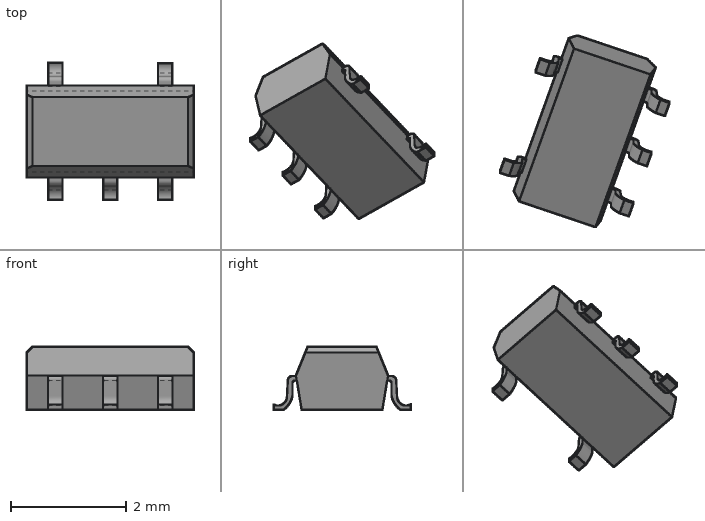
import cadquery as cq
import math

length = 2.9
height = 1.1
waist_height = 0.6
waist_half_width = 0.8
top_half_width = 0.597
bottom_half_width = 0.702
end_chamfer = 0.102

lead_width = 0.25
lead_pitch = 0.95
lead_reach = 1.185
long_lead_reach = 1.195

shank_inner = 0.855
shank_lean = math.radians(3)
shank_top = 0.467
shoulder_inner_radius = 0.04
shoulder_outer_radius = 0.08
shoulder_height = 0.592

foot_radius = 0.157
foot_thickness = 0.078
foot_center = 1.115
heel_top = 0.25
heel_mid = 0.908
heel_mid_height = 0.115
heel_end = 1.015


def flank_half_width(z):
    """Half width of the housing at height z, below the waist."""
    slope = (waist_half_width - bottom_half_width) / waist_height
    return bottom_half_width + slope * z


def make_housing():
    body = (
        cq.Workplane("YZ")
        .polyline([
            (-bottom_half_width, 0),
            (bottom_half_width, 0),
            (waist_half_width, waist_height),
            (top_half_width, height),
            (-top_half_width, height),
            (-waist_half_width, waist_height),
        ])
        .close()
        .extrude(length / 2, both=True)
    )
    end_outline = (
        cq.Workplane("XZ")
        .polyline([
            (-length / 2, 0),
            (length / 2, 0),
            (length / 2, height - end_chamfer),
            (length / 2 - end_chamfer, height),
            (-length / 2 + end_chamfer, height),
            (-length / 2, height - end_chamfer),
        ])
        .close()
        .extrude(waist_half_width, both=True)
    )
    return body.intersect(end_outline)


def make_rear_lead(x, reach):
    """Lead on the +Y side, centred on x, with its tip at y = reach."""
    bend_height = foot_thickness + foot_radius
    tip_offset = reach - foot_center
    tip_height = bend_height - math.sqrt(foot_radius**2 - tip_offset**2)
    underside = shank_top + shoulder_inner_radius
    inner_bend_start = shank_inner - shoulder_inner_radius

    shank_end = (
        foot_center - foot_radius * math.cos(shank_lean),
        bend_height - foot_radius * math.sin(shank_lean),
    )
    shoulder_center_z = shoulder_height - shoulder_outer_radius
    drop = shoulder_center_z - bend_height
    shoulder_center_y = foot_center - (
        drop * math.sin(shank_lean) + foot_radius + shoulder_outer_radius
    ) / math.cos(shank_lean)
    shank_start = (
        shoulder_center_y + shoulder_outer_radius * math.cos(shank_lean),
        shoulder_center_z + shoulder_outer_radius * math.sin(shank_lean),
    )

    return (
        cq.Workplane("YZ", origin=(x - lead_width / 2, 0, 0))
        .moveTo(flank_half_width(shoulder_height), shoulder_height)
        .lineTo(shoulder_center_y, shoulder_height)
        .tangentArcPoint(shank_start, relative=False)
        .lineTo(*shank_end)
        .tangentArcPoint((reach, tip_height), relative=False)
        .lineTo(reach, 0)
        .lineTo(heel_end, 0)
        .threePointArc((heel_mid, heel_mid_height), (shank_inner, heel_top))
        .lineTo(shank_inner, shank_top)
        .radiusArc((inner_bend_start, underside), -shoulder_inner_radius)
        .lineTo(flank_half_width(underside), underside)
        .close()
        .extrude(lead_width)
    )


def make_front_lead(x, reach):
    """Mirror image of a rear lead, on the -Y side."""
    return make_rear_lead(x, reach).mirror("XZ")


housing = make_housing()

leads = []
for x in (-lead_pitch, 0, lead_pitch):
    leads.append(make_front_lead(x, lead_reach).val())
for x, reach in ((-lead_pitch, long_lead_reach), (lead_pitch, lead_reach)):
    leads.append(make_rear_lead(x, reach).val())

result = cq.Compound.makeCompound([housing.val(), *leads])